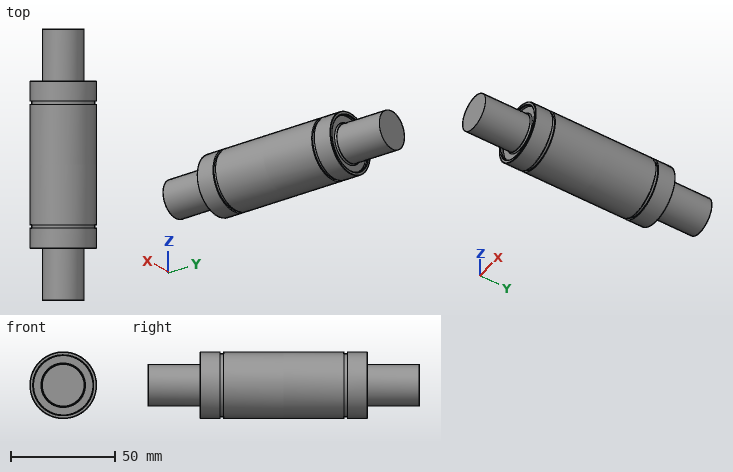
import cadquery as cq

total_length = 130.0
rod_diameter = 20.0
rod_stickout = 25.0
body_diameter = 32.0
body_edge_chamfer = 0.2

groove_diameter = 30.3
groove_width = 1.5
groove_offset = 9.6

recess_diameter = 28.5
recess_depth = 1.4
recess_chamfer = 0.4

lip_base_diameter = 21.3
lip_top_diameter = 20.4
lip_height = 0.9

body_length = total_length - 2 * rod_stickout
body_end = body_length / 2
rod_radius = rod_diameter / 2
body_radius = body_diameter / 2
groove_radius = groove_diameter / 2
recess_radius = recess_diameter / 2
recess_floor = body_end - recess_depth
lip_top = recess_floor + lip_height
groove_outer_side = body_end - groove_offset
groove_inner_side = groove_outer_side - groove_width

half_profile = [
    (0, 0),
    (body_radius, 0),
    (body_radius, groove_inner_side),
    (groove_radius, groove_inner_side),
    (groove_radius, groove_outer_side),
    (body_radius, groove_outer_side),
    (body_radius, body_end - body_edge_chamfer),
    (body_radius - body_edge_chamfer, body_end),
    (recess_radius + recess_chamfer, body_end),
    (recess_radius, body_end - recess_chamfer),
    (recess_radius, recess_floor),
    (lip_base_diameter / 2, recess_floor),
    (lip_top_diameter / 2, lip_top),
    (rod_radius, lip_top),
    (rod_radius, total_length / 2),
    (0, total_length / 2),
]

half = cq.Workplane("XY").polyline(half_profile).close().revolve(360, (0, 0, 0), (0, 1, 0))
result = half.union(half.mirror("XZ")).clean()